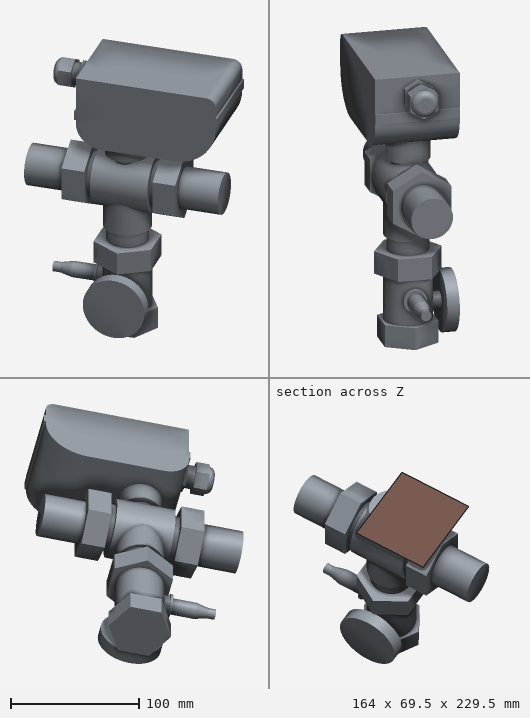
import cadquery as cq
import math


overall_height = 229.5

pipe_radius = 16.8
pipe_half_length = 79.5
union_flats = 47.0
union_length = 18.5
union_inner_x = 28.0
collar_radius = 18.5
body_radius = 23.5
body_half_length = 23.5

box_bottom_z = 41.3
stem_radius = 17.7
stem_bottom_z = 23.9
neck_radius = 13.3
branch_radius = 19.3
branch_bottom_z = -40.2
union_top_z = -52.3
union_bottom_z = union_top_z - union_length
valve_radius = 19.5
outlet_top_z = -110.0
outlet_bottom_z = -128.1
outlet_flats = 43.2

box_top_z = outlet_bottom_z + overall_height
box_left_x = -31.5
box_right_x = 83.1
box_width = 68.0
top_corner_radius = 7.3
lower_left_radius = 20.2
lower_right_radius = 33.5
rib_height = 8.3
rib_projection = 1.4
left_rib_z = 68.5
right_rib_z = 81.0

gland_z = 86.5
gland_flats = 22.0
gland_base_length = 5.0
gland_neck_radius = 9.2
gland_neck_length = 6.5
gland_nut_length = 10.8
gland_dome_radius = 10.8
gland_dome_length = 5.0

nozzle_z = -87.5
nozzle_seat_radius = 7.8
flange_radius = 9.5
flange_inner_x = -23.0
flange_outer_x = -24.8
nozzle_radius = 6.5
cone_start_x = -44.5
tip_start_x = -54.5
tip_end_x = -60.4
tip_radius = 4.1

dial_z = -97.5
dial_radius = 25.3
dial_inner_y = -25.5
dial_outer_y = -35.5
dial_stem_radius = 7.5


def cylinder_x(radius, x_start, x_end, z=0.0):
    """Solid cylinder along X between two X positions."""
    return cq.Workplane("YZ", origin=(x_start, 0, z)).circle(radius).extrude(x_end - x_start)


def cylinder_y(radius, y_start, y_end, z):
    """Solid cylinder along Y between two Y positions."""
    return cq.Workplane("XZ", origin=(0, y_start, z)).circle(radius).extrude(y_start - y_end)


def cylinder_z(radius, z_start, z_end):
    """Solid cylinder on the vertical axis between two heights."""
    return cq.Workplane("XY", origin=(0, 0, z_start)).circle(radius).extrude(z_end - z_start)


def hexagon(plane, flats, length):
    """Hexagonal prism with two corners on the plane's local X axis."""
    corner_diameter = flats / math.cos(math.pi / 6)
    return plane.polygon(6, corner_diameter).extrude(length)


def hexagon_x(flats, x_start, x_end, z=0.0):
    """Hexagonal prism along X with corners at top and bottom."""
    plane = cq.Workplane("YZ", origin=(x_start, 0, z)).transformed(rotate=(0, 0, 90))
    return hexagon(plane, flats, x_end - x_start)


def make_run():
    """Tee body with a collar, union nut and pipe end on each side."""
    union_outer_x = union_inner_x + union_length
    run = cylinder_x(pipe_radius, -pipe_half_length, pipe_half_length)
    run = run.union(cylinder_x(collar_radius, -union_inner_x, union_inner_x))
    run = run.union(cylinder_x(body_radius, -body_half_length, body_half_length))
    for side in (-1, 1):
        run = run.union(hexagon_x(union_flats, side * union_inner_x, side * union_outer_x))
    return run


def make_vertical_line():
    """Actuator stem, tee branch, union nut, lower valve and outlet hexagon."""
    line = cylinder_z(stem_radius, stem_bottom_z, box_bottom_z)
    line = line.union(cylinder_z(neck_radius, 0, stem_bottom_z))
    line = line.union(cylinder_z(branch_radius, branch_bottom_z, 0))
    line = line.union(cylinder_z(pipe_radius, union_top_z, branch_bottom_z))
    union_plane = cq.Workplane("XY", origin=(0, 0, union_bottom_z)).transformed(rotate=(0, 0, 90))
    line = line.union(hexagon(union_plane, union_flats, union_length))
    line = line.union(cylinder_z(valve_radius, outlet_top_z, union_bottom_z))
    outlet_plane = cq.Workplane("XY", origin=(0, 0, outlet_bottom_z))
    return line.union(hexagon(outlet_plane, outlet_flats, outlet_top_z - outlet_bottom_z))


def make_actuator():
    """Housing with three rounded long edges and a rib across each end."""
    length = box_right_x - box_left_x
    height = box_top_z - box_bottom_z
    box = (
        cq.Workplane("XY")
        .box(length, box_width, height)
        .translate((box_left_x + length / 2, 0, box_bottom_z + height / 2))
    )
    box = box.edges("|Y and >X and >Z").fillet(top_corner_radius)
    box = box.edges("|Y and <X and <Z").fillet(lower_left_radius)
    box = box.edges("|Y and >X and <Z").fillet(lower_right_radius)
    for end_x, rib_z in ((box_left_x, left_rib_z), (box_right_x, right_rib_z)):
        rib = cq.Workplane("XY").box(2 * rib_projection, box_width, rib_height)
        box = box.union(rib.translate((end_x, 0, rib_z)))
    return box


def make_gland():
    """Cable gland: base hexagon, neck, cap hexagon and rounded dome."""
    base_end_x = box_left_x - gland_base_length
    neck_end_x = base_end_x - gland_neck_length
    nut_end_x = neck_end_x - gland_nut_length
    gland = hexagon_x(gland_flats, box_left_x, base_end_x, gland_z)
    gland = gland.union(cylinder_x(gland_neck_radius, base_end_x, neck_end_x, gland_z))
    gland = gland.union(hexagon_x(gland_flats, neck_end_x, nut_end_x, gland_z))
    dome = (
        cq.Workplane("XY", origin=(nut_end_x, 0, gland_z))
        .lineTo(0, gland_dome_radius)
        .radiusArc((-gland_dome_length, gland_dome_radius - gland_dome_length), -gland_dome_length)
        .lineTo(-gland_dome_length, 0)
        .close()
        .revolve(360, (0, 0, 0), (1, 0, 0))
    )
    return gland.union(dome)


def make_nozzle():
    """Test nozzle turned about an X axis: seat, flange, shank, cone and tip."""
    profile = [
        (0, 0),
        (0, nozzle_seat_radius),
        (flange_inner_x, nozzle_seat_radius),
        (flange_inner_x, flange_radius),
        (flange_outer_x, flange_radius),
        (flange_outer_x, nozzle_radius),
        (cone_start_x, nozzle_radius),
        (tip_start_x, tip_radius),
        (tip_end_x, tip_radius),
        (tip_end_x, 0),
    ]
    plane = cq.Workplane("XY", origin=(0, 0, nozzle_z))
    return plane.polyline(profile).close().revolve(360, (0, 0, 0), (1, 0, 0))


def make_dial():
    """Round hand dial on a short stem."""
    stem = cylinder_y(dial_stem_radius, 0, dial_inner_y, dial_z)
    return stem.union(cylinder_y(dial_radius, dial_inner_y, dial_outer_y, dial_z))


result = (
    make_run()
    .union(make_vertical_line())
    .union(make_actuator())
    .union(make_gland())
    .union(make_nozzle())
    .union(make_dial())
)